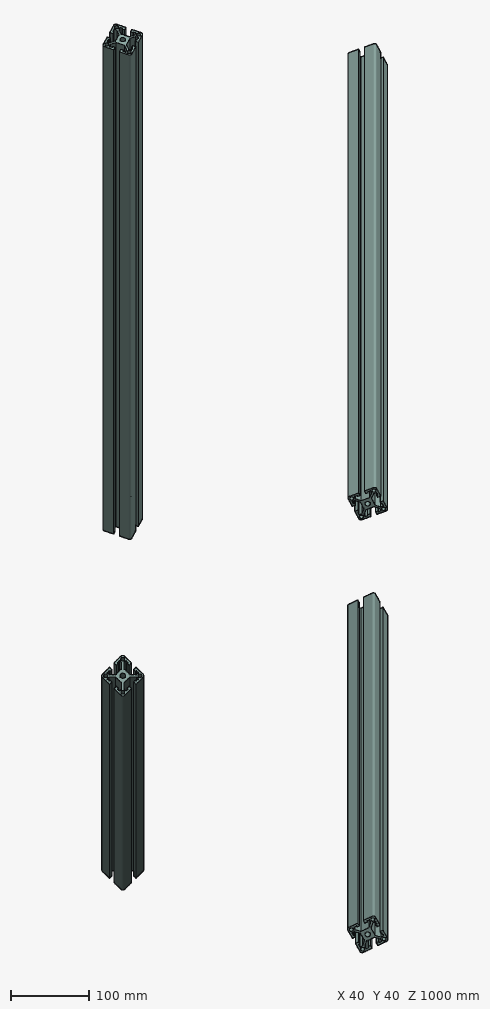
import cadquery as cq

SIDE = 40.0
LENGTH = 1000.0
CORNER_RADIUS = 3.0

SLOT_OPENING = 8.0
LIP_THICKNESS = 4.5
LIP_STEP_WIDTH = 15.0
THIN_LIP_THICKNESS = 3.0
SLOT_INNER_WIDTH = 22.5
SLOT_DEPTH = 12.25
SLOT_FLOOR_WIDTH = 11.5
SLOT_ANGLES = (0, 90, 180, 270)

CENTRE_BORE_DIAMETER = 6.8
CORNER_BORE_DIAMETER = 5.0
CORNER_BORE_INSET = 4.5

HALF_SIDE = SIDE / 2


def make_bar():
    """Square bar standing on Z = 0 with rounded long edges."""
    return cq.Workplane("XY").rect(SIDE, SIDE).extrude(LENGTH).edges("|Z").fillet(CORNER_RADIUS)


def make_slot(angle):
    """Full-length T-slot cutter, modelled on the +Y side and turned about Z."""
    half_opening = SLOT_OPENING / 2
    half_step = LIP_STEP_WIDTH / 2
    half_inner = SLOT_INNER_WIDTH / 2
    half_floor = SLOT_FLOOR_WIDTH / 2
    lip_y = HALF_SIDE - LIP_THICKNESS
    thin_lip_y = HALF_SIDE - THIN_LIP_THICKNESS
    floor_y = HALF_SIDE - SLOT_DEPTH
    slope_top_y = floor_y + half_inner - half_floor
    half_outline = [
        (half_opening, HALF_SIDE),
        (half_opening, lip_y),
        (half_step, lip_y),
        (half_step, thin_lip_y),
        (half_inner, thin_lip_y),
        (half_inner, slope_top_y),
        (half_floor, floor_y),
    ]
    mirrored = [(-x, y) for x, y in reversed(half_outline)]
    slot = cq.Workplane("XY").polyline(half_outline + mirrored).close().extrude(LENGTH)
    return slot.rotate((0, 0, 0), (0, 0, 1), angle)


def make_centre_bore():
    """Bore through the core, along the full length."""
    return cq.Workplane("XY").circle(CENTRE_BORE_DIAMETER / 2).extrude(LENGTH)


def make_corner_bores():
    """One bore in each corner, along the full length."""
    spacing = SIDE - 2 * CORNER_BORE_INSET
    centres = cq.Workplane("XY").rect(spacing, spacing, forConstruction=True).vertices()
    return centres.circle(CORNER_BORE_DIAMETER / 2).extrude(LENGTH)


result = make_bar()
for slot_angle in SLOT_ANGLES:
    result = result.cut(make_slot(slot_angle))
result = result.cut(make_centre_bore()).cut(make_corner_bores())